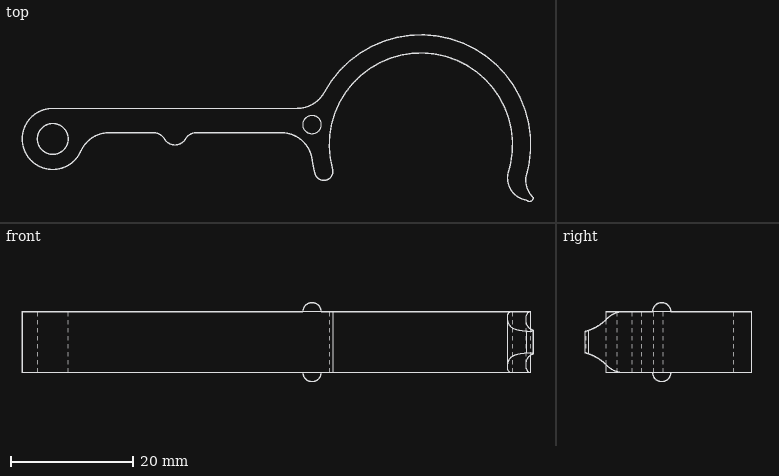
import cadquery as cq
import math

dome_radius = 1.5
total_height = 13.0
thickness = total_height - 2 * dome_radius

eye_radius = 5.0
hole_radius = 2.5
arm_width = 4.0
arm_top = eye_radius
arm_bottom = arm_top - arm_width
blend_radius = 5.0

bump_x = 20.0
bump_radius = 2.0

ring_x = 60.2
ring_y = -0.9
ring_outer = 18.0
ring_inner = 15.0
ring_middle = (ring_outer + ring_inner) / 2
leg_tip_radius = (ring_outer - ring_inner) / 2
leg_angle = 195.4
lip_angle = -17.0

lip_inner_end = (77.55, -10)
lip_tip = (78.4, -10.1)
lip_back = (77.6, -8.0)
lip_outer_end = (78.6, -9.6)

taper_start_y = -3.9
taper_middle = (-6.6, 3.85)
taper_end = (-10.5, 1.7)

dome_x = 42.4
dome_y = 2.35


def ring_point(radius, angle):
    """Point on a circle about the ring centre."""
    turn = math.radians(angle)
    return (ring_x + radius * math.cos(turn), ring_y + radius * math.sin(turn))


def between(start, end, fraction):
    """Point at a fraction of the way from start to end."""
    return tuple(a + fraction * (b - a) for a, b in zip(start, end))


def blend(circle_center, circle_radius, edge_y, outward, side):
    """Concave blend from a horizontal arm edge to a circle.

    outward is +1 above the arm or -1 below it; side is -1 or +1 for a blend
    to the left or right of the circle. Returns the tangent point on the
    edge, a point inside the arc and the tangent point on the circle.
    """
    center_y = edge_y + outward * blend_radius
    reach = circle_radius + blend_radius
    center_x = circle_center[0] + side * math.sqrt(reach**2 - (center_y - circle_center[1]) ** 2)
    center = (center_x, center_y)
    edge_point = (center_x, edge_y)
    circle_point = between(circle_center, center, circle_radius / reach)
    chord_middle = between(edge_point, circle_point, 0.5)
    arc_middle = between(center, chord_middle, blend_radius / math.dist(center, chord_middle))
    return edge_point, arc_middle, circle_point


eye_edge, eye_arc, eye_point = blend((0, 0), eye_radius, arm_bottom, -1, 1)
leg_edge, leg_arc, leg_point = blend((ring_x, ring_y), ring_outer, arm_bottom, -1, -1)
top_edge, top_arc, top_point = blend((ring_x, ring_y), ring_outer, arm_top, 1, -1)

bump_reach = bump_radius * math.sqrt(3)
flank_x = bump_reach / 2
flank_y = arm_bottom - bump_radius / 2

leg_tip = ring_point(ring_middle, leg_angle)
leg_turn = math.radians(leg_angle)
leg_end = (
    leg_tip[0] - leg_tip_radius * math.sin(leg_turn),
    leg_tip[1] + leg_tip_radius * math.cos(leg_turn),
)

outline = (
    cq.Workplane("XY")
    .workplane(offset=-thickness / 2)
    .moveTo(0, arm_top)
    .threePointArc((-eye_radius, 0), (0, -eye_radius))
    .tangentArcPoint(eye_point, relative=False)
    .threePointArc(eye_arc, eye_edge)
    .lineTo(bump_x - bump_reach, arm_bottom)
    .tangentArcPoint((bump_x - flank_x, flank_y), relative=False)
    .threePointArc((bump_x, arm_bottom - bump_radius), (bump_x + flank_x, flank_y))
    .tangentArcPoint((bump_x + bump_reach, arm_bottom), relative=False)
    .lineTo(*leg_edge)
    .threePointArc(leg_arc, leg_point)
    .tangentArcPoint(ring_point(ring_outer, leg_angle), relative=False)
    .threePointArc(leg_end, ring_point(ring_inner, leg_angle))
    .threePointArc(ring_point(ring_inner, 90), ring_point(ring_inner, lip_angle))
    .tangentArcPoint(lip_inner_end, relative=False)
    .threePointArc(lip_tip, lip_outer_end)
    .threePointArc(lip_back, ring_point(ring_outer, lip_angle))
    .threePointArc(ring_point(ring_outer, 60), top_point)
    .threePointArc(top_arc, top_edge)
    .close()
)
body = outline.extrude(thickness)


def lip_cutter(side):
    """Material removed above (side +1) or below (side -1) the tapered lip."""
    clearance = 0.8
    outside = side * (thickness / 2 + clearance)
    return (
        cq.Workplane("YZ")
        .workplane(offset=ring_x)
        .moveTo(taper_start_y + clearance, side * thickness / 2)
        .lineTo(taper_start_y, side * thickness / 2)
        .tangentArcPoint((taper_middle[0], side * taper_middle[1]), relative=False)
        .tangentArcPoint((taper_end[0], side * taper_end[1]), relative=False)
        .lineTo(taper_end[0] - clearance, side * taper_end[1])
        .lineTo(taper_end[0] - clearance, outside)
        .lineTo(taper_start_y + clearance, outside)
        .close()
        .extrude(2 * ring_outer)
    )


for side in (1, -1):
    body = body.cut(lip_cutter(side))
    dome = cq.Workplane("XY").sphere(dome_radius).translate((dome_x, dome_y, side * thickness / 2))
    body = body.union(dome)

eye_hole = cq.Workplane("XY").circle(hole_radius).extrude(thickness, both=True)
result = body.cut(eye_hole)